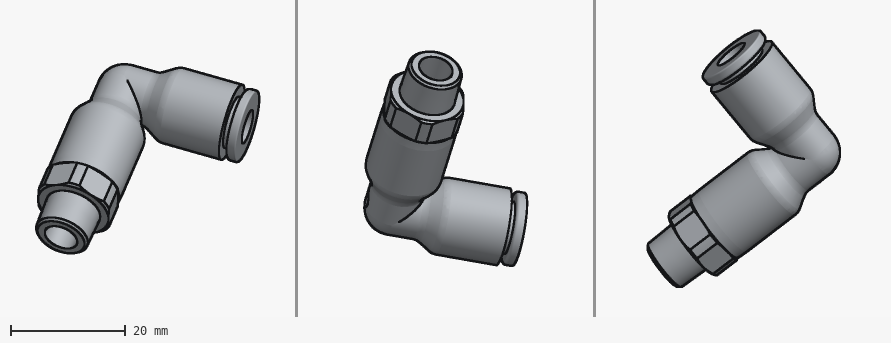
import cadquery as cq
import math


bore_radius = 3.0

neck_radius = 4.85
socket_radius = 6.8
flare_start = 5.25
flare_end = 8.4
flare_blend = 2.3
socket_length = 19.83
skirt_length = 1.92
skirt_end_radius = 6.75

dimple_radius = 2.8
dimple_depth = 0.6
dimple_offset = 1.0

collar_radius = 4.65
collar_length = 1.1
flange_radius = 6.5
flange_thickness = 1.8
flange_inner_fillet = 0.55
flange_outer_fillet = 0.3

hex_sides = 6
hex_across_flats = 12.98
hex_corner_diameter = 14.0
hex_height = 5.05
hex_face_radius = 6.5
hex_back_chamfer = 0.15
hex_front_chamfer = 0.35
overall_length = 40.05
thread_root_radius = 4.95
thread_taper = 1 / 32
thread_chamfer_length = 0.5
thread_chamfer_width = 0.45

hex_corner_radius = hex_corner_diameter / 2
hex_start = socket_length + skirt_length
hex_end = hex_start + hex_height
thread_end = overall_length - socket_radius
flange_start = socket_length + collar_length
flange_end = flange_start + flange_thickness


def turned_along_x(profile):
    """Revolve a closed (x, radius) profile about the X axis."""
    return cq.Workplane("XY").polyline(profile).close().revolve(360, (0, 0, 0), (1, 0, 0))


def to_thread_arm(shape):
    """Swing a shape built along +X round onto the -Y arm."""
    return shape.rotate((0, 0, 0), (0, 0, 1), -90)


def bore(start, end):
    """Straight length of the flow passage along +X."""
    return cq.Workplane("YZ").workplane(offset=start).circle(bore_radius).extrude(end - start)


def elbow_arm():
    """Neck, blended flare and socket of one arm, solid, along +X."""
    arm = turned_along_x([
        (0, 0),
        (0, neck_radius),
        (flare_start, neck_radius),
        (flare_end, socket_radius),
        (socket_length, socket_radius),
        (socket_length, 0),
    ])
    return arm.edges("%CIRCLE").edges("not (<X or >X)").fillet(flare_blend)


def skirt():
    return turned_along_x([
        (socket_length, 0),
        (socket_length, socket_radius),
        (hex_start, skirt_end_radius),
        (hex_start, 0),
    ])


def dimple():
    centre_x = -(neck_radius - dimple_depth + dimple_radius)
    return cq.Workplane("XY").sphere(dimple_radius).translate((centre_x, -dimple_offset, 0))


def make_elbow():
    tube_arm = elbow_arm()
    thread_arm = to_thread_arm(elbow_arm().union(skirt()))
    outside = cq.Workplane("XY").sphere(neck_radius).union(tube_arm).union(thread_arm)
    passage = (
        cq.Workplane("XY").sphere(bore_radius)
        .union(bore(0, socket_length))
        .union(to_thread_arm(bore(0, hex_start)))
    )
    return outside.cut(passage).cut(dimple())


def make_release_ring():
    collar = cq.Workplane("YZ").workplane(offset=socket_length).circle(collar_radius).extrude(collar_length)
    flange = (
        cq.Workplane("YZ").workplane(offset=flange_start).circle(flange_radius).extrude(flange_thickness)
        .faces("<X").edges().fillet(flange_inner_fillet)
        .faces(">X").edges().fillet(flange_outer_fillet)
    )
    return collar.union(flange).cut(bore(socket_length, flange_end))


def hex_collar():
    """Hexagon with corners at +Z and -Z, turned down to rounded, chamfered corners."""
    across_corners = hex_across_flats / math.cos(math.pi / hex_sides)
    hexagon = (
        cq.Workplane("YZ").workplane(offset=hex_start)
        .transformed(rotate=(0, 0, 90))
        .polygon(hex_sides, across_corners).extrude(hex_height)
    )
    turned_blank = turned_along_x([
        (hex_start, 0),
        (hex_start, hex_face_radius),
        (hex_start + hex_back_chamfer, hex_corner_radius),
        (hex_end - hex_front_chamfer, hex_corner_radius),
        (hex_end, hex_face_radius),
        (hex_end, 0),
    ])
    return hexagon.intersect(turned_blank)


def thread_spigot():
    """Plain taper that stands for the pipe thread."""
    chamfer_start = thread_end - thread_chamfer_length
    tip_radius = thread_root_radius - thread_taper * (chamfer_start - hex_end)
    return turned_along_x([
        (hex_end, 0),
        (hex_end, thread_root_radius),
        (chamfer_start, tip_radius),
        (thread_end, tip_radius - thread_chamfer_width),
        (thread_end, 0),
    ])


def make_nipple():
    solid_nipple = hex_collar().union(thread_spigot())
    return to_thread_arm(solid_nipple.cut(bore(hex_start, thread_end)))


elbow = make_elbow()
release_ring = make_release_ring()
nipple = make_nipple()

result = cq.Compound.makeCompound([elbow.val(), release_ring.val(), nipple.val()])